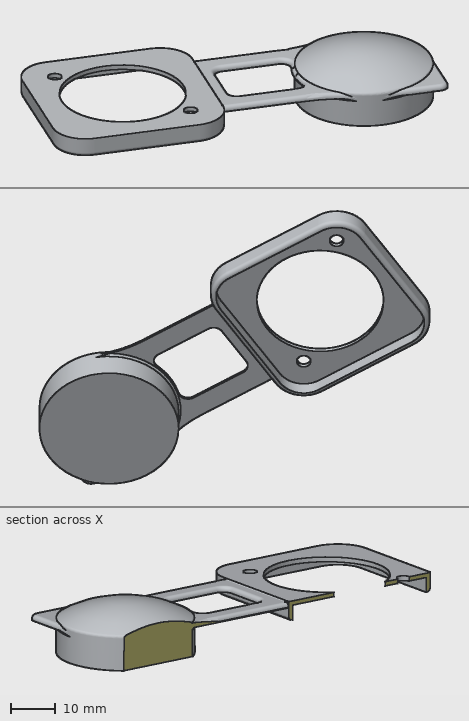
import cadquery as cq
import math


plate_side = 39.4
plate_corner_radius = 7.5
plate_thickness = 4.5
plate_top_z = 8.2
plate_bottom_fillet = 1.0
plate_skin = 1.1
plate_wall = 1.2
socket_hole_diameter = 28.2
screw_hole_diameter = 3.1
screw_offset = 12.2

total_length = 91.1
cap_radius = 15.5
cap_y = total_length - plate_side / 2 - cap_radius
dome_edge_z = 8.0
dome_height = 4.0
rim_fillet = 0.8

arm_half_width = plate_side / 2 - plate_corner_radius
arm_thickness = 1.25
arm_top_z = 7.9
arm_bottom_z = arm_top_z - arm_thickness
arm_edge_fillet = 1.0
arm_neck_radius = 28.5
arm_overlap = 1.0
arm_root_y = plate_side / 2
tab_corner_radius = 2.2
under_cap_fillet = 0.5
arm_root_fillet = plate_top_z - arm_top_z

window_half_width = 7.2
window_start_y = 22.8
window_lip = 0.7
window_corner_radius = 2.2


def make_plate():
    """A rounded square shell, open below, with the socket hole and two screw holes in its skin."""
    bottom_z = plate_top_z - plate_thickness
    plate = (
        cq.Workplane("XY", origin=(0, 0, bottom_z))
        .rect(plate_side, plate_side)
        .extrude(plate_thickness)
        .edges("|Z")
        .fillet(plate_corner_radius)
        .faces("<Z")
        .edges()
        .fillet(plate_bottom_fillet)
    )
    pocket_side = plate_side - 2 * plate_wall
    pocket = (
        cq.Workplane("XY", origin=(0, 0, bottom_z))
        .rect(pocket_side, pocket_side)
        .extrude(plate_thickness - plate_skin)
        .edges("|Z")
        .fillet(plate_corner_radius - plate_wall)
    )
    socket_hole = cq.Workplane("XY").circle(socket_hole_diameter / 2).extrude(plate_top_z)
    screw_holes = (
        cq.Workplane("XY")
        .pushPoints([(screw_offset, screw_offset), (-screw_offset, -screw_offset)])
        .circle(screw_hole_diameter / 2)
        .extrude(plate_top_z)
    )
    return plate.cut(pocket).cut(socket_hole).cut(screw_holes)


def make_cap():
    """A solid of revolution: a cylinder closed by a spherical dome with a rounded rim."""
    sphere_radius = (cap_radius**2 + dome_height**2) / (2 * dome_height)
    apex_z = dome_edge_z + dome_height
    mid_x = cap_radius / 2
    mid_z = apex_z - sphere_radius + math.sqrt(sphere_radius**2 - mid_x**2)
    cap = (
        cq.Workplane("XZ")
        .lineTo(cap_radius, 0)
        .lineTo(cap_radius, dome_edge_z)
        .threePointArc((mid_x, mid_z), (0, apex_z))
        .close()
        .revolve(360, (0, 0, 0), (0, 1, 0))
        .faces("%CYLINDER")
        .edges(">Z")
        .fillet(rim_fillet)
    )
    return cap.translate((0, cap_y, 0))


def arm_outline():
    """Arm whose sides flare by arcs until they touch the cap circle; it ends inside the cap."""
    centre_x = arm_half_width + arm_neck_radius
    centre_distance = cap_radius + arm_neck_radius
    neck_y = cap_y - math.sqrt(centre_distance**2 - centre_x**2)
    touch_x = centre_x * cap_radius / centre_distance
    touch_y = cap_y + (neck_y - cap_y) * cap_radius / centre_distance
    return (
        cq.Workplane("XY", origin=(0, 0, arm_bottom_z))
        .moveTo(-touch_x, touch_y)
        .radiusArc((-arm_half_width, neck_y), arm_neck_radius)
        .lineTo(-arm_half_width, arm_root_y - arm_overlap)
        .lineTo(arm_half_width, arm_root_y - arm_overlap)
        .lineTo(arm_half_width, neck_y)
        .radiusArc((touch_x, touch_y), arm_neck_radius)
        .close()
    )


def tab_outline():
    """A square over the cap's +X +Y quadrant."""
    return cq.Workplane("XY", origin=(0, cap_y, arm_bottom_z)).rect(cap_radius, cap_radius, centered=False)


def make_window():
    """A rounded opening whose cap-side edge runs concentric with the cap."""
    opening = (
        cq.Workplane("XY", origin=(0, 0, arm_bottom_z))
        .moveTo(-window_half_width, window_start_y)
        .lineTo(window_half_width, window_start_y)
        .lineTo(window_half_width, cap_y)
        .lineTo(-window_half_width, cap_y)
        .close()
        .extrude(arm_thickness)
    )
    lip = (
        cq.Workplane("XY", origin=(0, cap_y, arm_bottom_z))
        .circle(cap_radius + window_lip)
        .extrude(arm_thickness)
    )
    return opening.cut(lip).edges("|Z").fillet(window_corner_radius)


def make_arm():
    arm = arm_outline().extrude(arm_thickness).cut(make_window())
    return arm.faces(">Z").edges("not(<Y or >Y)").fillet(arm_edge_fillet)


def make_tab():
    tab = tab_outline().extrude(arm_thickness)
    tab = tab.edges("|Z and >X and >Y").fillet(tab_corner_radius)
    return tab.faces(">Z").edges("not(<X or <Y)").fillet(arm_edge_fillet)


def make_under_cap_fillet():
    """The concave fillet between the arm's underside and the cap's wall."""
    ring = (
        cq.Workplane("XZ")
        .moveTo(cap_radius - arm_overlap, arm_bottom_z)
        .lineTo(cap_radius + under_cap_fillet, arm_bottom_z)
        .radiusArc((cap_radius, arm_bottom_z - under_cap_fillet), -under_cap_fillet)
        .lineTo(cap_radius - arm_overlap, arm_bottom_z - under_cap_fillet)
        .close()
        .revolve(360, (0, 0, 0), (0, 1, 0))
        .translate((0, cap_y, 0))
    )
    arm_footprint = arm_outline().extrude(-under_cap_fillet)
    tab_footprint = tab_outline().extrude(-under_cap_fillet)
    return ring.intersect(arm_footprint.union(tab_footprint))


def make_arm_root_fillet():
    """The concave fillet from the arm's top up to the plate's top edge."""
    flat_half_width = arm_half_width - arm_edge_fillet
    return (
        cq.Workplane("YZ", origin=(-flat_half_width, 0, 0))
        .moveTo(arm_root_y - arm_overlap, arm_bottom_z)
        .lineTo(arm_root_y + arm_root_fillet, arm_bottom_z)
        .lineTo(arm_root_y + arm_root_fillet, arm_top_z)
        .radiusArc((arm_root_y, plate_top_z), arm_root_fillet)
        .lineTo(arm_root_y - arm_overlap, plate_top_z)
        .close()
        .extrude(2 * flat_half_width)
    )


arm = make_arm().union(make_arm_root_fillet())
cap = make_cap().union(make_under_cap_fillet())
result = make_plate().union(arm).union(make_tab()).union(cap)